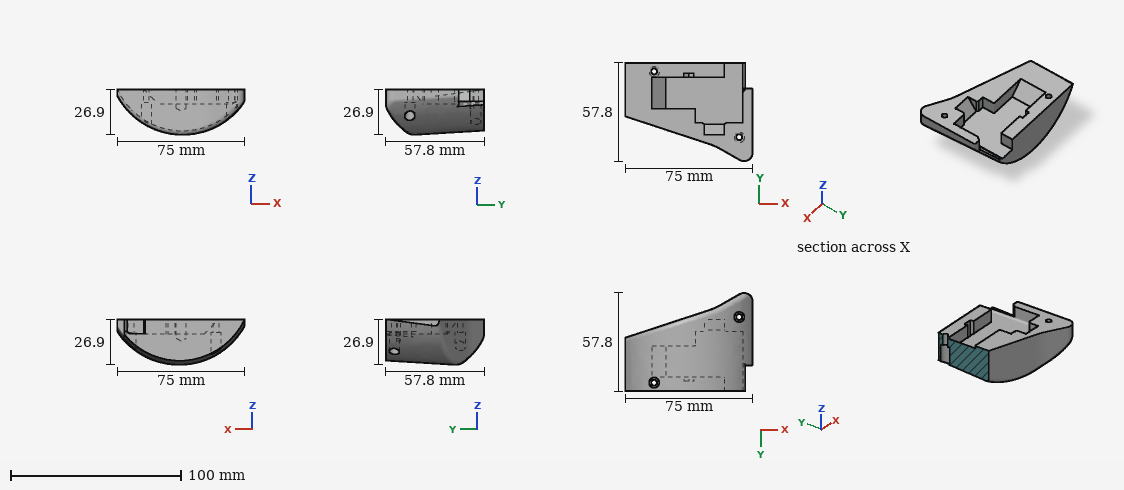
import cadquery as cq
import math

length = 75.0
top_z = 0.0
margin = 15.0

left_front_y = -31.5
bend_x, bend_y = 52.9, -48.9
bend_radius = 38.25
nose_slope = 0.57
nose_radius = 5.1

belly_front_y = -60.0
back_belly_center_x, back_belly_radius, back_belly_depth = 38.25, 42.2, 24.4
front_belly_center_x, front_belly_radius, front_belly_depth = 37.4, 44.5, 28.05
belly_fillet = 3.0

step_x, step_y = 70.7, -15.0
step_corner_radius = 0.9
lip_z = -6.9
step_flare_length = 2.55
lip_slope_start_y, lip_slope_end_y = -1.5, -12.75
lip_slope_drop = 0.6

floor_z = -8.4
pocket_left, pocket_right = 15.5, 69.0
pocket_back, pocket_front = -8.4, -35.2
shallow_front = -26.85
shallow_right = 41.25
back_opening_left = 58.35
floor_fillet = 1.5
pocket_corner_radius = 0.5
left_ramp_end = 23.85

recess_left, recess_right = 46.35, 58.35
recess_ramp_start, recess_front = -36.15, -42.3
recess_mouth_flare = 1.0

notch_left, notch_right = 34.6, 40.4
notch_back = -6.15
notch_valley_drop = 1.7
notch_sink = 2.6

hole_diameter = 3.4
head_diameter = 6.0
head_seat_z = -7.5
hole_centers = [(17.0, -5.0), (67.05, -43.65)]


def box(x0, x1, y0, y1, z0, z1):
    return cq.Workplane("XY").box(x1 - x0, y1 - y0, z1 - z0, centered=False).translate((x0, y0, z0))


def fillet_at(solid, point, radius):
    """Round the edge whose middle is nearest to the point."""
    return solid.edges(cq.selectors.NearestToPointSelector(point)).fillet(radius)


def prism_along_y(points, y0, y1):
    """Extrude an (x, z) outline from y0 to y1."""
    return cq.Workplane("XZ", origin=(0, y1, 0)).polyline(points).close().extrude(y1 - y0)


def prism_along_x(points, x0, x1):
    """Extrude a (y, z) outline from x0 to x1."""
    return cq.Workplane("YZ", origin=(x0, 0, 0)).polyline(points).close().extrude(x1 - x0)


def belly_section(center_x, radius, depth, y):
    """Closed half-disc whose lowest point lies at -depth."""
    center_z = radius - depth
    ends = [(center_x - radius, center_z), (center_x + radius, center_z)]
    section = cq.Workplane("XZ", origin=(0, y, 0)).moveTo(*ends[0])
    return section.threePointArc((center_x, -depth), ends[1]).close().wires().val()


def make_body():
    side_slope = (bend_y - left_front_y) / bend_x
    outline = [
        (-margin, 0),
        (-margin, left_front_y - side_slope * margin),
        (bend_x, bend_y),
        (length, bend_y - nose_slope * (length - bend_x)),
        (length, 0),
    ]
    plan = cq.Workplane("XY").workplane(offset=-2 * margin).polyline(outline).close().extrude(3 * margin)
    plan = fillet_at(plan, (bend_x, bend_y, 0), bend_radius)
    nose_tip = (*outline[3], 0)
    plan = fillet_at(plan, nose_tip, nose_radius)

    belly = cq.Solid.makeLoft(
        [
            belly_section(back_belly_center_x, back_belly_radius, back_belly_depth, 0),
            belly_section(front_belly_center_x, front_belly_radius, front_belly_depth, belly_front_y),
        ],
        True,
    )
    body = plan.intersect(cq.Workplane(obj=belly))
    front_point = (bend_x / 2, (left_front_y + bend_y) / 2, -front_belly_depth)
    body = fillet_at(body, front_point, belly_fillet)
    return body.intersect(box(0, length, belly_front_y, 0, -2 * front_belly_depth, top_z))


def make_step():
    """Cut away the back right corner, leaving a low lip beside the pocket."""
    corner = box(step_x, length + margin, step_y, margin, -2 * margin, top_z)
    above_lip = box(pocket_right, length + margin, step_y, margin, lip_z, top_z)
    flare = [(pocket_right, step_y), (step_x, step_y), (pocket_right, step_y - step_flare_length)]
    flare_cut = cq.Workplane("XY", origin=(0, 0, lip_z)).polyline(flare).close().extrude(top_z - lip_z)
    return corner.union(above_lip).union(flare_cut).union(make_lip_slope())


def make_lip_slope():
    """Wedge above the sloping outer part of the lip, deepest where the lip meets the step wall."""
    run_x = step_x - pocket_right
    run_y = lip_slope_start_y - lip_slope_end_y
    crease = cq.Plane(
        origin=(pocket_right, lip_slope_end_y, lip_z),
        xDir=(run_y, -run_x, 0),
        normal=(run_x, run_y, 0),
    )
    width = run_x * (lip_slope_start_y - step_y) / math.hypot(run_x, run_y)
    wedge = cq.Workplane(crease).polyline([(0, 0), (width, 0), (width, lip_slope_drop)]).close()
    wedge = wedge.extrude(margin, both=True)
    return wedge.intersect(box(pocket_right, step_x, step_y, 0, 2 * lip_z, top_z))


def make_pocket():
    plan = [
        (pocket_left, pocket_back),
        (pocket_left, shallow_front),
        (shallow_right, shallow_front),
        (shallow_right, pocket_front),
        (recess_left - recess_mouth_flare, pocket_front),
        (recess_left, recess_ramp_start),
        (recess_right, recess_ramp_start),
        (recess_right + recess_mouth_flare, pocket_front),
        (pocket_right, pocket_front),
        (pocket_right, margin),
        (back_opening_left, margin),
        (back_opening_left, pocket_back),
    ]
    pocket = cq.Workplane("XY", origin=(0, 0, floor_z)).polyline(plan).close().extrude(top_z - floor_z)
    for corner in [(shallow_right, shallow_front), (back_opening_left, pocket_back)]:
        pocket = fillet_at(pocket, (*corner, floor_z / 2), pocket_corner_radius)
    right_floor_edge = (pocket_right, pocket_front / 2, floor_z)
    pocket = fillet_at(pocket, right_floor_edge, floor_fillet)

    left_ramp = [
        (pocket_left, floor_z),
        (left_ramp_end, floor_z),
        (pocket_left, top_z),
    ]
    return pocket.cut(prism_along_y(left_ramp, shallow_front, pocket_back))


def make_recess():
    side = [
        (recess_ramp_start, floor_z),
        (recess_front, top_z),
        (recess_ramp_start, top_z),
    ]
    return prism_along_x(side, recess_left, recess_right)


def make_notch():
    shoulder_z = floor_z - notch_sink
    profile = [
        (notch_left, top_z),
        (notch_left, shoulder_z),
        ((notch_left + notch_right) / 2, shoulder_z - notch_valley_drop),
        (notch_right, shoulder_z),
        (notch_right, top_z),
    ]
    return prism_along_y(profile, pocket_back, notch_back)


def cylinders_down(diameter, start_z):
    start = cq.Workplane("XY", origin=(0, 0, start_z)).pushPoints(hole_centers)
    return start.circle(diameter / 2).extrude(-front_belly_depth)


def make_holes():
    return cylinders_down(hole_diameter, top_z).union(cylinders_down(head_diameter, head_seat_z))


result = make_body()
for cutter in [make_step(), make_pocket(), make_recess(), make_notch(), make_holes()]:
    result = result.cut(cutter)
outer_step_corner = (length, step_y, lip_z / 2)
result = fillet_at(result, outer_step_corner, step_corner_radius)